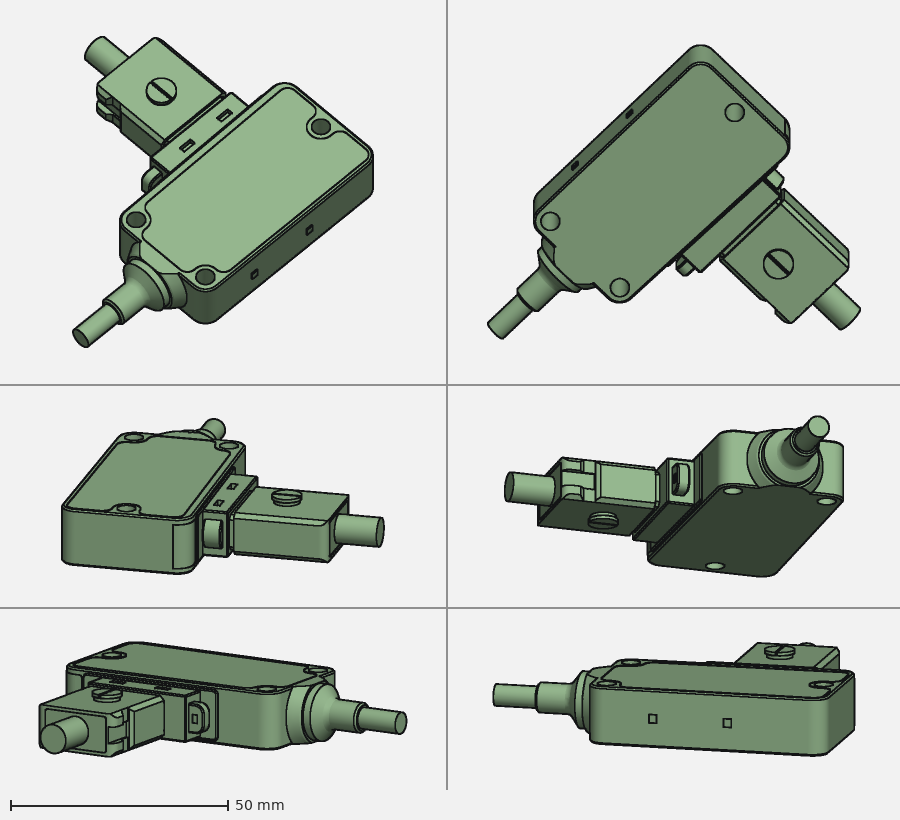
import cadquery as cq
import math


embed = 0.8
pick_margin = 0.1

height = 13.6
half_width = 15.2
leaning_half_width = 15.0
length = 56.6
wall_lean = 1.1
corner_radius = 3.85
rim_chamfer = 0.4
screw_hole_diameter = 4.35
back_hole_y = 52.5

lid_margin = 1.2
lid_leaning_margin = 2.1
lid_depth = 0.2
lid_corner_radius = 2.3
lid_scallop_radius = 3.2
hole_land = 3.3

panel_rise = 0.1
panel_front_y = 50.8
panel_height = 10.7
panel_corner_radius = 0.65

nub_rise = 0.3
nub_length = 1.8
nub_height = 2.0
nub_ys = (15.8, 33.5)

cone_base_radius = 9.2
cone_tip_radius = 7.7
cone_length = 2.6
cone_tip_bevel = 0.4
ring_radius = 6.65
ring_start = 3.0
ring_end = 4.9
sleeve_radius = 3.5
sleeve_start = 7.3
sleeve_end = 15.25
sleeve_fillet = 1.6
sleeve_chamfer = 0.5
cable_radius = 2.55
cable_end = 25.4 - panel_rise

flange_front_y = 14.6
flange_back_y = 50.35
flange_height = 12.0
flange_rise = 0.5
flange_corner_radius = 1.0
flange_chamfer = 0.3
socket_face_x = -22.3
socket_front_y = 19.0
socket_back_y = 45.5
socket_height = 11.1
socket_chamfer = 0.3
pocket_x = -18.5
pocket_ys = (27.55, 39.6)
pocket_width = 1.5
pocket_length = 3.45
pocket_depth = 1.2

tab_outer_x = -21.1
tab_height = 6.9
front_tab_width = 2.95
front_tab_reach = 4.0
front_tab_radius = 2.1
tab_mark_y = 16.7
tab_mark_length = 1.3
tab_mark_height = 2.0
tab_mark_depth = 0.2
back_tab_width = 4.4
back_tab_reach = 2.1
tab_chamfer = 0.3

plug_end_x = -45.75
plug_face_x = -23.5
plug_height = 10.2
plug_core_front_y = 25.2
plug_back_y = 45.0
plug_corner_radius = 2.0
plug_bevel = 1.1
grip_start_x = -36.7
notch_start_x = -40.6
notch_end_x = -37.8
notch_step = 0.3
lug_gap = 3.85
lug_channel_floor_y = 25.7
face_recess_length = 16.4
face_recess_height = 8.5
face_recess_y = 34.4
face_recess_depth = 0.2
neck_front_y = 24.85
neck_back_y = 44.2
neck_height = 8.5
neck_bevel = 1.0

plug_cable_diameter = 6.8
plug_cable_y = 34.4
plug_cable_end_x = -55.6
screw_x = -33.1
screw_y = 33.6
screw_neck_radius = 3.0
screw_head_radius = 3.45
screw_head_height = 0.8
screw_slot_width = 0.5
screw_slot_depth = 0.4

half_height = height / 2
front_hole_x = half_width - corner_radius
front_hole_y = corner_radius
lean_angle = math.atan2(wall_lean, length)


def wall_x(y):
    """X of the leaning wall at the given Y."""
    return -leaning_half_width - wall_lean * y / length


def box(x_range, y_range, z_range):
    """Axis-aligned block between the given limits."""
    sizes = [high - low for low, high in (x_range, y_range, z_range)]
    block = cq.Workplane("XY").box(*sizes, centered=False)
    return block.translate((x_range[0], y_range[0], z_range[0]))


def centred(size):
    """Limits of a stretch of the given size about zero."""
    return (-size / 2, size / 2)


def housing_block(growth=0.0):
    """Rounded block with one leaning wall, its walls moved outward by the growth."""
    outline = [
        (wall_x(0) - growth, -growth),
        (half_width + growth, -growth),
        (half_width + growth, length + growth),
        (wall_x(length) - growth, length + growth),
    ]
    block = cq.Workplane("XY").workplane(offset=-half_height).polyline(outline).close().extrude(height)
    return block.edges("|Z").fillet(corner_radius + growth)


def lid_recess():
    """Shallow recess in the top that steps around the three screw holes."""
    right = half_width - lid_margin
    back = length - lid_margin + panel_rise
    front = lid_margin
    inner_x = front_hole_x - hole_land
    inner_y = front_hole_y + hole_land
    notch_y = back_hole_y - hole_land

    def left(y):
        return wall_x(y) + lid_leaning_margin

    outline = [
        (-inner_x, front),
        (inner_x, front),
        (inner_x, inner_y),
        (right, inner_y),
        (right, back),
        (hole_land, back),
        (hole_land, notch_y),
        (-hole_land, notch_y),
        (-hole_land, back),
        (left(back), back),
        (left(inner_y), inner_y),
        (-inner_x, inner_y),
    ]
    floor = cq.Workplane("XY").workplane(offset=half_height - lid_depth)
    lid = floor.polyline(outline).close().extrude(2 * lid_depth)
    corners_beside_holes = outline[2], outline[6], outline[7], outline[11]
    for x, y in outline:
        around_corner = cq.selectors.BoxSelector(
            (x - pick_margin, y - pick_margin, 0), (x + pick_margin, y + pick_margin, height)
        )
        radius = lid_scallop_radius if (x, y) in corners_beside_holes else lid_corner_radius
        lid = lid.edges("|Z").edges(around_corner).fillet(radius)
    return lid


def corner_panel():
    """Thin raised panel around the back corner of the leaning wall."""
    zone = box(
        (wall_x(length) - embed, wall_x(length) + corner_radius),
        (panel_front_y, length + embed),
        centred(panel_height),
    )
    zone = zone.edges("|X and <Y").fillet(panel_corner_radius)
    return housing_block(panel_rise).intersect(zone)


def cable_gland():
    """Cone, ring, sleeve and cable turned about the Y axis and flattened to the housing height."""
    profile = [
        (0, embed),
        (cone_base_radius, embed),
        (cone_base_radius, 0),
        (cone_tip_radius, -cone_length),
        (cone_tip_radius - cone_tip_bevel, -ring_start),
        (ring_radius, -ring_start),
        (ring_radius, -ring_end),
        (sleeve_radius, -sleeve_start),
        (sleeve_radius, -sleeve_end + sleeve_chamfer),
        (sleeve_radius - sleeve_chamfer, -sleeve_end),
        (cable_radius, -sleeve_end),
        (cable_radius, -cable_end),
        (0, -cable_end),
    ]
    turned = cq.Workplane("XY").polyline(profile).close().revolve(360, (0, 0), (0, 1))
    sleeve_root = cq.selectors.BoxSelector(
        (-ring_radius, -sleeve_start - pick_margin, -ring_radius),
        (ring_radius, -sleeve_start + pick_margin, ring_radius),
    )
    turned = turned.edges(sleeve_root).fillet(sleeve_fillet)
    return turned.intersect(box(centred(2 * half_width), (-cable_end, embed), centred(height)))


def wall_flange():
    """Low flange lying on the leaning wall."""
    middle_y = (flange_front_y + flange_back_y) / 2
    flange = box((-flange_rise, embed), centred(flange_back_y - flange_front_y), centred(flange_height))
    flange = flange.edges("|X").fillet(flange_corner_radius)
    flange = flange.faces("<X").chamfer(flange_chamfer)
    flange = flange.rotate((0, 0, 0), (0, 0, 1), math.degrees(lean_angle))
    return flange.translate((wall_x(middle_y), middle_y, 0))


def socket():
    """Block that receives the plug, with two pockets in its top."""
    block = box((socket_face_x, wall_x(0)), (socket_front_y, socket_back_y), centred(socket_height))
    block = block.edges("not >X").chamfer(socket_chamfer)
    for y in pocket_ys:
        pocket = cq.Workplane("XY").box(pocket_width, pocket_length, 2 * pocket_depth)
        block = block.cut(pocket.translate((pocket_x, y, socket_height / 2)))
    return block


def front_tab():
    """Latch tab with two rounded corners and a small mark in its -X side."""
    tip_y = socket_front_y - front_tab_reach
    tab = box(
        (tab_outer_x, tab_outer_x + front_tab_width),
        (tip_y, socket_front_y + embed),
        centred(tab_height),
    )
    tab = tab.edges("|X and <Y").fillet(front_tab_radius)
    tab = tab.faces("<X or >X").edges("not >Y").chamfer(tab_chamfer)
    mark = box(
        (tab_outer_x, tab_outer_x + tab_mark_depth),
        (tab_mark_y, tab_mark_y + tab_mark_length),
        centred(tab_mark_height),
    )
    return tab.cut(mark)


def back_tab():
    """Latch tab with an arched edge."""
    tab = (
        cq.Workplane("YZ")
        .workplane(offset=tab_outer_x)
        .moveTo(socket_back_y, -tab_height / 2)
        .threePointArc((socket_back_y + back_tab_reach, 0), (socket_back_y, tab_height / 2))
        .close()
        .extrude(back_tab_width)
    )
    return tab.edges("%CIRCLE").chamfer(tab_chamfer)


def build_housing():
    """Housing with its own cable, the socket for the plug and the latch tabs."""
    body = housing_block().faces("<Z or >Z").chamfer(rim_chamfer)
    body = body.union(corner_panel())
    body = body.cut(lid_recess())
    body = body.union(cable_gland())
    hole_places = [(-front_hole_x, front_hole_y), (front_hole_x, front_hole_y), (0, back_hole_y)]
    holes = cq.Workplane("XY").pushPoints(hole_places).circle(screw_hole_diameter / 2)
    body = body.cut(holes.extrude(height, both=True))
    for y in nub_ys:
        nub = cq.Workplane("XY").box(2 * nub_rise, nub_length, nub_height)
        body = body.union(nub.translate((half_width, y, 0)))
    for part in (wall_flange(), socket(), front_tab(), back_tab()):
        body = body.union(part)
    return body


def plug_block():
    """Block with bevelled long edges and two rounded corners at its cable end."""
    front_y = plug_core_front_y - plug_bevel
    limits = ((plug_end_x, plug_face_x), (front_y, plug_back_y), centred(plug_height))
    rounded = box(*limits).edges("|Z and <X").fillet(plug_corner_radius)
    bevelled = box(*limits).edges("|X").chamfer(plug_bevel)
    return rounded.intersect(bevelled)


def grip_notch():
    """Notch with sloping sides across the -Y side, between the lugs and the grip pad."""
    front_y = plug_core_front_y - plug_bevel
    outline = [
        (notch_start_x, plug_core_front_y),
        (notch_end_x, plug_core_front_y),
        (notch_end_x, plug_core_front_y - notch_step),
        (grip_start_x, front_y),
        (notch_start_x - plug_bevel, front_y),
    ]
    return cq.Workplane("XY").polyline(outline).close().extrude(plug_height, both=True)


def lug_channel():
    """Channel that parts the two lugs and ends at the grip pad."""
    return box((plug_end_x, notch_end_x), (0, lug_channel_floor_y), centred(lug_gap))


def clamping_screw():
    """Slotted screw head on a short neck, standing on the top of the plug."""
    head_bottom = half_height - screw_head_height
    neck = cq.Workplane("XY").circle(screw_neck_radius).extrude(head_bottom)
    head = cq.Workplane("XY").workplane(offset=head_bottom).circle(screw_head_radius)
    head = head.extrude(screw_head_height)
    slot = cq.Workplane("XY").box(2 * screw_head_radius + embed, screw_slot_width, 2 * screw_slot_depth)
    return neck.union(head).cut(slot.translate((0, 0, half_height))).translate((screw_x, screw_y, 0))


def plug_neck():
    """Bevelled neck between the plug block and the socket face."""
    neck = box((plug_face_x - embed, socket_face_x), (neck_front_y, neck_back_y), centred(neck_height))
    return neck.edges("|X").chamfer(neck_bevel)


def build_plug():
    """Plug with its cable and its two clamping screws."""
    body = plug_block().cut(grip_notch()).cut(lug_channel())
    end_recess = box(
        (plug_end_x, plug_end_x + face_recess_depth),
        (face_recess_y - face_recess_length / 2, face_recess_y + face_recess_length / 2),
        centred(face_recess_height),
    )
    body = body.cut(end_recess.edges("|X").fillet(panel_corner_radius))
    cable = cq.Workplane("YZ").workplane(offset=plug_cable_end_x).center(plug_cable_y, 0)
    body = body.union(cable.circle(plug_cable_diameter / 2).extrude(plug_end_x + embed - plug_cable_end_x))
    screw = clamping_screw()
    for fitted_screw in (screw, screw.mirror("XY")):
        body = body.union(fitted_screw)
    return body.union(plug_neck())


housing = build_housing()
plug = build_plug()
result = cq.Compound.makeCompound([housing.val(), plug.val()])